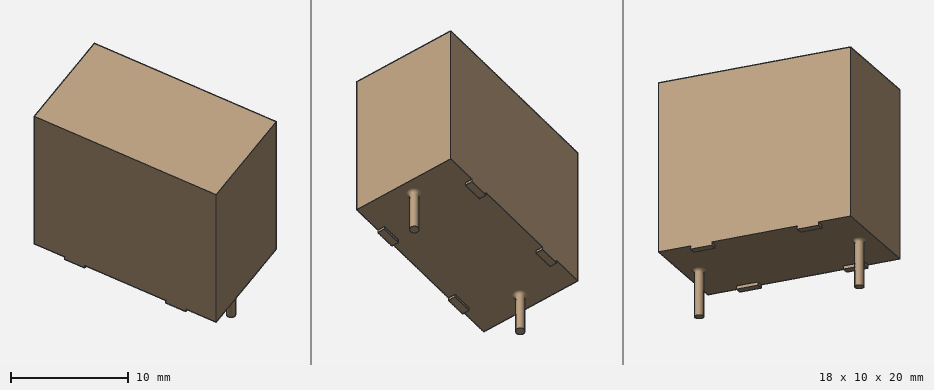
import cadquery as cq

length = 18.0
width = 10.0
total_height = 20.0

lead_diameter = 0.8
lead_length = 4.3
lead_pitch = 15.0
root_fillet = 0.3

foot_length = 2.0
foot_width = 0.7
foot_height = 0.3
foot_pitch = 10.0

body_height = total_height - lead_length


def make_body():
    """Rectangular case with its underside at Z = 0."""
    return cq.Workplane("XY").box(length, width, body_height, centered=(True, True, False))


def make_feet():
    """Four small pads under the case."""
    foot_row_spacing = width - foot_width
    return (
        cq.Workplane("XY")
        .rarray(foot_pitch, foot_row_spacing, 2, 2)
        .rect(foot_length, foot_width)
        .extrude(-foot_height)
    )


def make_lead(x):
    """Round lead revolved about its own axis, flared at the underside of the case."""
    radius = lead_diameter / 2
    return (
        cq.Workplane("XZ")
        .lineTo(radius + root_fillet, 0)
        .radiusArc((radius, -root_fillet), -root_fillet)
        .lineTo(radius, -lead_length)
        .lineTo(0, -lead_length)
        .close()
        .revolve(360, (0, 0), (0, 1))
        .translate((x, 0, 0))
    )


result = make_body().union(make_feet())
for side in (-1, 1):
    result = result.union(make_lead(side * lead_pitch / 2))